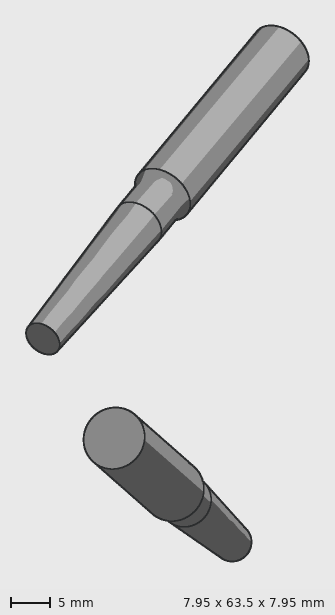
import cadquery as cq
import math

TOTAL_LENGTH = 63.5
SHANK_DIAMETER = 7.95
SHANK_LENGTH = 31.6
NECK_DIAMETER = 6.65
SHOULDER_FILLET_RADIUS = 3.0
TIP_LENGTH = 25.4
TIP_END_DIAMETER = 4.8

shank_radius = SHANK_DIAMETER / 2
neck_radius = NECK_DIAMETER / 2
tip_end_radius = TIP_END_DIAMETER / 2
shoulder_y = TOTAL_LENGTH - SHANK_LENGTH

shoulder_angle = math.acos(1 - (shank_radius - neck_radius) / SHOULDER_FILLET_RADIUS)
neck_end_y = shoulder_y - SHOULDER_FILLET_RADIUS * math.sin(shoulder_angle)


def shoulder_arc_point(angle):
    """Point on the concave shoulder arc, at an angle measured from the neck."""
    radius = neck_radius + SHOULDER_FILLET_RADIUS * (1 - math.cos(angle))
    y = neck_end_y + SHOULDER_FILLET_RADIUS * math.sin(angle)
    return radius, y


def revolve_about_y(profile):
    """Turn a closed radius-against-Y profile into a solid of revolution."""
    return profile.close().revolve(360, (0, 0, 0), (0, 1, 0))


def make_holder():
    """Cylindrical shank that drops through a concave shoulder to a narrower neck."""
    profile = (
        cq.Workplane("XY")
        .moveTo(0, TIP_LENGTH)
        .lineTo(neck_radius, TIP_LENGTH)
        .lineTo(neck_radius, neck_end_y)
        .threePointArc(shoulder_arc_point(shoulder_angle / 2), (shank_radius, shoulder_y))
        .lineTo(shank_radius, TOTAL_LENGTH)
        .lineTo(0, TOTAL_LENGTH)
    )
    return revolve_about_y(profile)


def make_tip():
    """Tapered tip whose wide end matches and meets the neck of the holder."""
    profile = (
        cq.Workplane("XY")
        .lineTo(tip_end_radius, 0)
        .lineTo(neck_radius, TIP_LENGTH)
        .lineTo(0, TIP_LENGTH)
    )
    return revolve_about_y(profile)


holder = make_holder()
tip = make_tip()
result = cq.Compound.makeCompound([holder.val(), tip.val()])